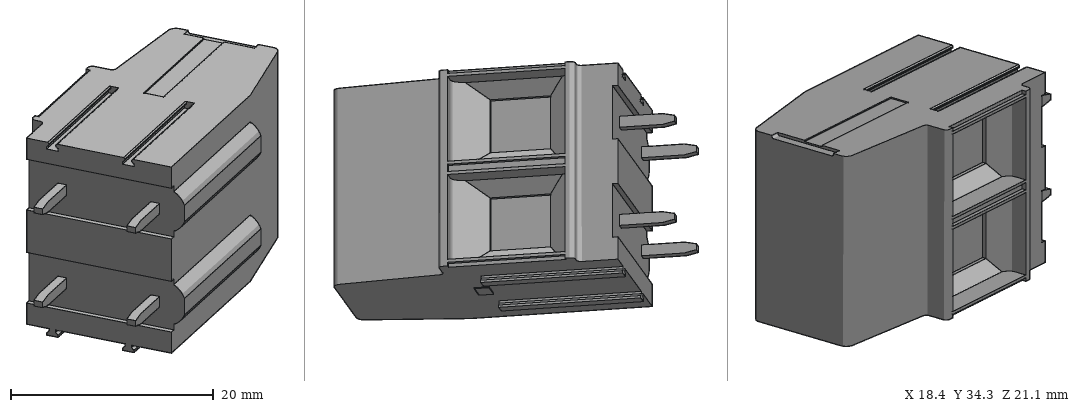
import cadquery as cq


pole_pitch = 10.15
pole_count = 2
block_height = pole_count * pole_pitch
pole_centres = [(index + 0.5) * pole_pitch for index in range(pole_count)]

foot_x = 1.45
back_x = 17.22
foot_top_y = 4.08
shoulder_y = 17.85
shoulder_x = 2.6
back_slope_y = 18.3
top_y = 29.3
top_left_x = 3.6
top_right_x = 15.25
edge_radius = 0.48
top_radius = 0.85

entry_bottom_y = 5.05
entry_top_y = 16.88
entry_height = 8.78
funnel_wall_depth = 1.85
funnel_roof_depth = 2.35
funnel_depth = 3.3
funnel_radius = 1.0
throat_bottom_y = 7.2
throat_top_y = 13.3
throat_height = 5.5
throat_depth = 0.4

rebate_depth = 0.45
lip_thickness = 0.3
rebate_height = pole_pitch - entry_height - 2 * lip_thickness

channel_height = 5.52
channel_depth = 0.55

rib_axis_x = 16.12
rib_radius = 2.45
rib_projection = 1.15

pin_centres_x = [5.08, 15.2]
pin_width = 0.95
pin_thickness = 1.13
pin_length = 5.0
pin_tip_length = 1.2
pin_tip_thickness = 0.62

dovetail_centres_x = [4.25, 12.52]
dovetail_length = 14.35
dovetail_height = 0.75
dovetail_neck = 0.72
dovetail_neck_height = 0.25
dovetail_width = 1.25
dovetail_flare_height = 0.5
mouth_flare = 0.15

notch_left_x = 5.3
notch_right_x = 12.95
notch_length = 0.95
notch_depth = 0.3
notch_radius = 0.25
strip_left_x = 7.48
strip_width = 2.15
strip_depth = 0.15
nub_length = 1.5
nub_height = 0.1


def box(x_range, y_range, z_range):
    """Axis-aligned box between the given limits."""
    (x0, x1), (y0, y1), (z0, z1) = x_range, y_range, z_range
    return cq.Workplane("XY").box(x1 - x0, y1 - y0, z1 - z0, centered=False).translate((x0, y0, z0))


def span(centre, size):
    """Limits of a length centred on a place."""
    return centre - size / 2, centre + size / 2


def upright_edge(x, y):
    """Selector for the edge along Z nearest to a corner of the housing outline."""
    return cq.selectors.NearestToPointSelector((x, y, block_height / 2))


def make_housing():
    outline = [
        (foot_x, 0),
        (back_x, 0),
        (back_x, back_slope_y),
        (top_right_x, top_y),
        (top_left_x, top_y),
        (shoulder_x, shoulder_y),
        (0, shoulder_y),
        (0, foot_top_y),
        (foot_x, foot_top_y),
    ]
    housing = cq.Workplane("XY").polyline(outline).close().extrude(block_height)
    for x in (top_left_x, top_right_x):
        housing = housing.edges(upright_edge(x, top_y)).fillet(top_radius)
    for x, y in [(shoulder_x, shoulder_y), (0, shoulder_y), (0, foot_top_y), (foot_x, foot_top_y)]:
        housing = housing.edges(upright_edge(x, y)).fillet(edge_radius)
    return housing


def make_funnel(centre_z):
    """Tapered wire entry: a side-wall prism crossed with a floor-and-roof prism, plus the throat."""
    wall_outline = [
        (0, entry_bottom_y),
        (funnel_wall_depth, entry_bottom_y),
        (funnel_depth, throat_bottom_y),
        (funnel_depth, throat_top_y),
        (funnel_wall_depth, entry_top_y),
        (0, entry_top_y),
    ]
    walls = cq.Workplane("XY").polyline(wall_outline).close().extrude(entry_height / 2, both=True)
    for y in (entry_bottom_y, entry_top_y):
        bend = cq.selectors.NearestToPointSelector((funnel_wall_depth, y, 0))
        walls = walls.edges(bend).fillet(funnel_radius)

    roof_outline = [
        (0, -entry_height / 2),
        (funnel_roof_depth, -entry_height / 2),
        (funnel_depth, -throat_height / 2),
        (funnel_depth, throat_height / 2),
        (funnel_roof_depth, entry_height / 2),
        (0, entry_height / 2),
    ]
    roof = cq.Workplane("XZ").polyline(roof_outline).close().extrude(-top_y)
    throat = box(
        (funnel_roof_depth, funnel_depth + throat_depth),
        (throat_bottom_y, throat_top_y),
        span(0, throat_height),
    )
    return walls.intersect(roof).union(throat).translate((0, 0, centre_z))


def make_rebate(centre_z):
    return box((0, rebate_depth), (entry_bottom_y, entry_top_y), span(centre_z, rebate_height))


def make_channel(centre_z):
    return box((0, back_x), (0, channel_depth), span(centre_z, channel_height))


def make_rib(centre_z):
    rib_length = back_slope_y - channel_depth
    cylinder = (
        cq.Workplane("XZ", origin=(rib_axis_x, channel_depth, centre_z))
        .circle(rib_radius)
        .extrude(-rib_length)
    )
    kept = box(
        (back_x, back_x + rib_projection),
        (channel_depth, back_slope_y),
        span(centre_z, 2 * rib_radius),
    )
    return cylinder.intersect(kept)


def make_pin(centre_x, centre_z):
    """Rectangular pin along -Y with a tip tapered in thickness."""
    half = pin_thickness / 2
    half_tip = pin_tip_thickness / 2
    taper_y = pin_tip_length - pin_length
    side = [
        (channel_depth, -half),
        (taper_y, -half),
        (-pin_length, -half_tip),
        (-pin_length, half_tip),
        (taper_y, half),
        (channel_depth, half),
    ]
    pin = cq.Workplane("YZ").polyline(side).close().extrude(pin_width / 2, both=True)
    return pin.translate((centre_x, 0, centre_z))


def make_dovetail(centre_x, root_z):
    """Dovetail bar hanging below the given height, narrow at its root."""
    half_neck = dovetail_neck / 2
    half_width = dovetail_width / 2
    right_side = [
        (half_neck, 0),
        (half_neck, -dovetail_neck_height),
        (half_width, -dovetail_flare_height),
        (half_width, -dovetail_height),
    ]
    left_side = [(-x, z) for x, z in reversed(right_side)]
    bar = cq.Workplane("XZ").polyline(right_side + left_side).close().extrude(-dovetail_length)
    return bar.translate((centre_x, 0, root_z))


def make_groove(centre_x):
    """Dovetail groove in the upper side, with its mouth flared open."""
    half_neck = dovetail_neck / 2
    half_mouth = half_neck + mouth_flare
    mouth_outline = [
        (-half_mouth, 0),
        (half_mouth, 0),
        (half_neck, -mouth_flare),
        (-half_neck, -mouth_flare),
    ]
    mouth = cq.Workplane("XZ").polyline(mouth_outline).close().extrude(-dovetail_length)
    return make_dovetail(centre_x, block_height).union(mouth.translate((centre_x, 0, block_height)))


def make_notch():
    """Rounded-bottom notch across the end of the upper side."""
    notch = box(
        (notch_left_x, notch_right_x),
        (top_y - notch_length, top_y),
        (block_height - notch_depth, block_height),
    )
    return notch.edges("<Z and |Y").fillet(notch_radius)


def make_strip():
    """Shallow strip recess running from the groove ends to the notch."""
    return box(
        (strip_left_x, strip_left_x + strip_width),
        (dovetail_length, top_y - notch_length),
        (block_height - strip_depth, block_height),
    )


def make_nub():
    """Low pad under the housing, matching the inner end of the strip recess."""
    return box(
        (strip_left_x, strip_left_x + strip_width),
        (dovetail_length, dovetail_length + nub_length),
        (-nub_height, 0),
    )


result = make_housing().cut(make_notch()).cut(make_strip()).union(make_nub())

for pole_z in pole_centres:
    result = result.cut(make_channel(pole_z)).cut(make_funnel(pole_z)).union(make_rib(pole_z))
    for pin_x in pin_centres_x:
        result = result.union(make_pin(pin_x, pole_z))

for boundary in range(pole_count + 1):
    result = result.cut(make_rebate(boundary * pole_pitch))

for dovetail_x in dovetail_centres_x:
    result = result.cut(make_groove(dovetail_x)).union(make_dovetail(dovetail_x, 0))